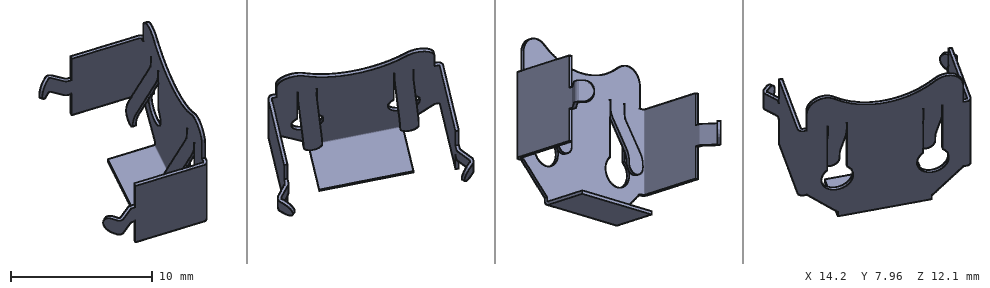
import cadquery as cq
import math


sheet = 0.25
fold_radius = 0.1
mid_fold = fold_radius + sheet / 2
outer_fold = fold_radius + sheet

right_angle = 90
leftward = 180
downward = -90

overall_width = 14.16
overall_depth = 7.96
overall_height = 12.14

wall_span = 12.66
wall_bottom = 2.89
wall_top = 9.25
shoulder_half = 5.72
ear_radius = 1.25
scoop_bottom = 10.58
flange_half = 3.41
flange_depth = 3.84

wall_depth = 5.54
tab_width = 1.57
tab_neck_depth = 5.83
tab_out_angle = 39
tab_in_angle = 45
bulge_radius = 0.13
bulge_bend = bulge_radius + sheet / 2

spring_x = 3.5
spring_width = 1.35
slit_width = 0.05
relief_radius = 1.16
spring_root = 8.7
spring_angle = 28
root_front_radius = 1.7
tip_front_radius = 2.17
root_bend = root_front_radius + sheet / 2
tip_bend = tip_front_radius - sheet / 2
tip_bend_bottom = 4.15
spring_tip = 3.4


def folded_strip(plane, start, heading, steps, width, round_end=False):
    """Sheet strip of the given width, centred on the plane that holds its side profile.

    The mid-thickness path begins at `start` along `heading` (degrees). Each step is
    (length,) for a straight run or (radius, turn) for a bend, positive turn = left.
    A round end adds a half disc of the strip's width.
    """

    def sideways(point, angle, distance):
        """Point moved to the left of a path running at the given angle."""
        a = math.radians(angle)
        return (point[0] - distance * math.sin(a), point[1] + distance * math.cos(a))

    half = sheet / 2
    end = start
    strip = cq.Workplane(plane)
    for step in steps:
        begin, begin_heading = end, heading
        outline = cq.Workplane(plane).moveTo(*sideways(begin, begin_heading, -half))
        if len(step) == 1:
            a = math.radians(heading)
            end = (begin[0] + step[0] * math.cos(a), begin[1] + step[0] * math.sin(a))
            outline = outline.lineTo(*sideways(end, heading, -half))
            outline = outline.lineTo(*sideways(end, heading, half))
            outline = outline.lineTo(*sideways(begin, heading, half))
        else:
            radius, turn = step
            to_centre = math.copysign(radius, turn)
            centre = sideways(begin, heading, to_centre)
            heading += turn
            end = sideways(centre, heading, -to_centre)
            middle_heading = begin_heading + turn / 2
            middle = sideways(centre, middle_heading, -to_centre)
            outline = outline.threePointArc(
                sideways(middle, middle_heading, -half), sideways(end, heading, -half)
            )
            outline = outline.lineTo(*sideways(end, heading, half))
            outline = outline.threePointArc(
                sideways(middle, middle_heading, half), sideways(begin, begin_heading, half)
            )
        strip = strip.add(outline.close().extrude(width / 2, both=True))
    strip = strip.combine()

    if round_end:
        a = math.radians(heading)
        along = plane.xDir * math.cos(a) + plane.yDir * math.sin(a)
        normal = plane.yDir * math.cos(a) - plane.xDir * math.sin(a)
        end_plane = cq.Plane(origin=plane.toWorldCoords(end), xDir=along, normal=normal)
        radius = width / 2
        half_disc = (
            cq.Workplane(end_plane)
            .moveTo(0, -radius)
            .threePointArc((radius, 0), (0, radius))
            .close()
            .extrude(half, both=True)
        )
        strip = strip.union(half_disc)
    return strip


def slab(x_min, x_max, z_min, z_max):
    """Block one sheet thick in the back plate."""
    block = cq.Workplane("XY").box(x_max - x_min, sheet, z_max - z_min, centered=False)
    return block.translate((x_min, -sheet, z_min))


def back_plate():
    """Flat plate with rounded ears, a concave top edge and 45 degree lower corners."""
    flat_half = wall_span / 2 - outer_fold
    chamfer_bottom = wall_bottom - (shoulder_half - flange_half)
    ear_x = shoulder_half - ear_radius
    ear_z = overall_height - ear_radius

    rise = ear_z - scoop_bottom
    scoop_radius = (ear_x**2 + rise**2 - ear_radius**2) / (2 * (ear_radius + rise))
    scoop_z = scoop_bottom + scoop_radius
    share = scoop_radius / (scoop_radius + ear_radius)
    tangent_x = ear_x * share
    tangent_z = scoop_z + (ear_z - scoop_z) * share

    return (
        cq.Workplane("XZ")
        .moveTo(-flange_half, outer_fold)
        .lineTo(flange_half, outer_fold)
        .lineTo(flange_half, chamfer_bottom)
        .lineTo(shoulder_half, wall_bottom)
        .lineTo(flat_half, wall_bottom)
        .lineTo(flat_half, wall_top)
        .lineTo(shoulder_half, wall_top)
        .lineTo(shoulder_half, ear_z)
        .threePointArc((ear_x, overall_height), (tangent_x, tangent_z))
        .threePointArc((0, scoop_bottom), (-tangent_x, tangent_z))
        .threePointArc((-ear_x, overall_height), (-shoulder_half, ear_z))
        .lineTo(-shoulder_half, wall_top)
        .lineTo(-flat_half, wall_top)
        .lineTo(-flat_half, wall_bottom)
        .lineTo(-shoulder_half, wall_bottom)
        .lineTo(-flange_half, chamfer_bottom)
        .close()
        .extrude(sheet)
    )


def spring_opening(x):
    """Keyhole opening around a spring, with a slit running up each side of its root."""
    relief_z = wall_bottom + relief_radius
    half = spring_width / 2 + slit_width
    opening = cq.Workplane("XZ").center(x, relief_z).circle(relief_radius).extrude(sheet)
    opening = opening.union(slab(x - half, x + half, relief_z, spring_root))
    for left in (x - half, x + half - slit_width):
        opening = opening.union(slab(left, left + slit_width, relief_z, wall_top))
    return opening


def contact_spring(x):
    """Spring that leans forward from the plate and ends in a vertical rounded tip."""
    plane = cq.Plane(origin=(x, 0, 0), xDir=(0, 1, 0), normal=(1, 0, 0))
    a = math.radians(spring_angle)
    root_rise = root_front_radius * math.sin(a)
    tip_rise = tip_front_radius * math.sin(a)
    lean = (spring_root - root_rise - tip_bend_bottom - tip_rise) / math.cos(a)
    steps = [
        (root_bend, -spring_angle),
        (lean,),
        (tip_bend, spring_angle),
        (tip_bend_bottom - spring_tip - spring_width / 2,),
    ]
    return folded_strip(plane, (-sheet / 2, spring_root), downward, steps, spring_width, True)


def bottom_flange():
    """Flange folded forward from the lower edge of the plate."""
    plane = cq.Plane(origin=(0, 0, 0), xDir=(0, 1, 0), normal=(1, 0, 0))
    steps = [(mid_fold, -right_angle), (flange_depth - outer_fold,)]
    return folded_strip(plane, (-sheet / 2, outer_fold), downward, steps, 2 * flange_half)


def left_wall():
    """Side wall at -X with the snap tab on its front edge."""
    plane = cq.Plane(origin=(0, 0, (wall_bottom + wall_top) / 2), xDir=(1, 0, 0), normal=(0, 0, 1))
    wall_steps = [(mid_fold, right_angle), (wall_depth - outer_fold,)]
    wall_start = (outer_fold - wall_span / 2, -sheet / 2)
    wall = folded_strip(plane, wall_start, leftward, wall_steps, wall_top - wall_bottom)

    out_a = math.radians(tab_out_angle)
    in_a = math.radians(tab_in_angle)
    bulge = (overall_width - wall_span) / 2
    bends_bulge = (mid_fold + bulge_bend) * (1 - math.cos(out_a))
    out_run = (bulge - bends_bulge) / math.sin(out_a)
    bends_depth = (mid_fold + bulge_bend) * math.sin(out_a) + bulge_bend * math.sin(in_a)
    depth_left = overall_depth - tab_neck_depth - bends_depth - out_run * math.cos(out_a)
    in_run = (depth_left - sheet / 2 * math.sin(in_a)) / math.cos(in_a) - tab_width / 2
    tab_steps = [
        (tab_neck_depth - wall_depth,),
        (mid_fold, -tab_out_angle),
        (out_run,),
        (bulge_bend, tab_out_angle + tab_in_angle),
        (in_run,),
    ]
    tab_start = (sheet / 2 - wall_span / 2, -wall_depth)
    tab = folded_strip(plane, tab_start, downward, tab_steps, tab_width, True)
    return wall.union(tab)


result = back_plate().union(bottom_flange())
for x in (-spring_x, spring_x):
    result = result.cut(spring_opening(x)).union(contact_spring(x))

wall = left_wall()
result = result.union(wall).union(wall.mirror("YZ"))